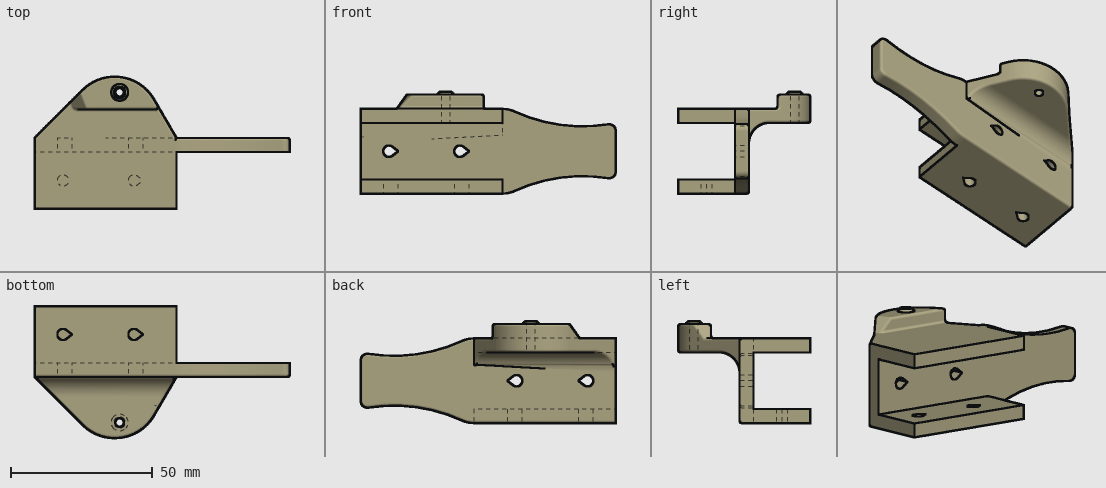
import cadquery as cq
import math

body_length = 50.0
body_depth = 25.0
body_height = 30.0
wall = 5.0
mid_height = body_height / 2
edge_radius = 1.0
margin = 0.045

reach = 46.6
tongue_nose_radius = 16.0
left_edge_angle = math.radians(45)
right_edge_angle = math.radians(60)
underside_radius = 7.0

pad_front = 35.0
pad_height = 5.0
pad_top = body_height + pad_height
taper_top_x = 18.5
taper_skew = math.radians(21.5)
taper_run = 4.7

boss_x = 30.0
boss_y = 41.0
boss_base_diameter = 5.9
boss_top_diameter = 4.0
bore_diameter = 3.0
overall_height = 36.0

overall_length = 90.0
handle_waist_x = 78.2
handle_waist_half = 8.8
handle_shoulder_radius = 10.0
handle_corner_radius = 2.4

hole_radius = 2.0
hole_tip = 3.2
hole_xs = (10.0, 35.0)
lower_hole_y = 10.0


def box(x0, x1, y0, y1, z0, z1):
    return cq.Workplane("XY").box(x1 - x0, y1 - y0, z1 - z0, centered=False).translate((x0, y0, z0))


def tongue_prism(z0, z1):
    """Tongue outline, with straight edges tangent to the round nose."""
    center_y = reach - tongue_nose_radius
    rise = center_y - body_depth
    center_x = (tongue_nose_radius + rise * math.cos(left_edge_angle)) / math.sin(left_edge_angle)

    def on_nose(angle):
        return (
            center_x + tongue_nose_radius * math.cos(angle),
            center_y + tongue_nose_radius * math.sin(angle),
        )

    return (
        cq.Workplane("XY", origin=(0, 0, z0))
        .moveTo(0, body_depth - wall)
        .lineTo(0, body_depth)
        .lineTo(*on_nose(math.pi / 2 + left_edge_angle))
        .threePointArc((center_x, reach), on_nose(math.pi / 2 - right_edge_angle))
        .lineTo(body_length, body_depth)
        .lineTo(body_length, body_depth - wall)
        .close()
        .extrude(z1 - z0)
    )


def make_body():
    solid = box(0, body_length, 0, body_depth, 0, body_height)
    solid = solid.cut(box(0, body_length, 0, body_depth - wall, wall, body_height - wall))
    return solid.edges("<Z and >Y").fillet(edge_radius)


def pad_region():
    """Space behind the pad front, bounded on the left by the tapered end."""
    region = box(0, body_length, pad_front, reach, body_height, pad_top)
    taper_plane = cq.Plane(
        origin=(taper_top_x, pad_front, pad_top),
        xDir=(math.cos(taper_skew), math.sin(taper_skew), 0),
        normal=(math.sin(taper_skew), -math.cos(taper_skew), 0),
    )
    taper_cutter = (
        cq.Workplane(taper_plane)
        .polyline([(0, 0), (-taper_run, -pad_height), (-body_length, -pad_height), (-body_length, 0)])
        .close()
        .extrude(reach, both=True)
    )
    return region.cut(taper_cutter)


def make_bend():
    """Bend joining the tongue's underside to the back wall."""
    root_z = body_height - wall
    bend = (
        cq.Workplane("YZ")
        .moveTo(body_depth, root_z)
        .lineTo(body_depth + underside_radius, root_z)
        .radiusArc((body_depth, root_z - underside_radius), -underside_radius)
        .close()
        .extrude(body_length)
    )
    return bend.intersect(tongue_prism(0, root_z))


def is_rounded(edge):
    """True for every edge behind the body except seams between tangent faces."""
    bounds = edge.BoundingBox()
    middle_y = edge.Center().y
    is_nose_seam = bounds.xlen < margin and middle_y > pad_front + margin
    is_bend_seam = bounds.ylen < margin and bounds.zmax < body_height - margin
    return middle_y > body_depth + margin and not is_nose_seam and not is_bend_seam


def make_body_with_tongue():
    plate = tongue_prism(body_height - wall, body_height)
    pad = tongue_prism(body_height, pad_top).intersect(pad_region())
    solid = make_body().union(plate).union(pad).union(make_bend())
    rounded_edges = [edge for edge in solid.edges().vals() if is_rounded(edge)]
    return solid.newObject(rounded_edges).fillet(edge_radius)


def make_boss():
    return (
        cq.Workplane("XY", origin=(boss_x, boss_y, pad_top))
        .circle(boss_base_diameter / 2)
        .workplane(offset=overall_height - pad_top)
        .circle(boss_top_diameter / 2)
        .loft()
    )


def make_handle():
    """Waisted handle; each side is a convex shoulder tangent to a concave arc."""
    run = handle_waist_x - body_length
    drop = mid_height - handle_waist_half
    waist_radius = (run**2 + drop**2) / (2 * drop) - handle_shoulder_radius
    turn = 2 * math.atan(drop / run)
    join = (
        body_length + handle_shoulder_radius * math.sin(turn),
        mid_height - handle_shoulder_radius * (1 - math.cos(turn)),
    )
    shoulder = (
        body_length + handle_shoulder_radius * math.sin(turn / 2),
        mid_height - handle_shoulder_radius * (1 - math.cos(turn / 2)),
    )
    end_offset = overall_length - handle_waist_x
    end_half = handle_waist_half + waist_radius - math.sqrt(waist_radius**2 - end_offset**2)
    half = (
        cq.Workplane("XZ", origin=(0, body_depth, mid_height))
        .moveTo(body_length - wall, 0)
        .lineTo(body_length - wall, mid_height)
        .lineTo(body_length, mid_height)
        .threePointArc(shoulder, join)
        .threePointArc((handle_waist_x, handle_waist_half), (overall_length, end_half))
        .lineTo(overall_length, 0)
        .close()
        .extrude(wall)
    )
    solid = half.union(half.mirror("XY", (0, 0, mid_height))).clean()
    solid = solid.edges("|Y and >X").fillet(handle_corner_radius)
    back_edges = solid.faces(">Y").edges().vals()
    back_rim = [edge for edge in back_edges if edge.Center().x > body_length]
    return solid.newObject(back_rim).fillet(edge_radius)


def teardrops(workplane):
    """Prisms through one wall, each with its pointed side toward +X."""
    tangent_angle = math.acos(hole_radius / hole_tip)
    tangent_x = hole_radius * math.cos(tangent_angle)
    tangent_y = hole_radius * math.sin(tangent_angle)
    cutters = cq.Workplane("XY")
    for x in hole_xs:
        cutter = (
            workplane.moveTo(x + hole_tip, 0)
            .lineTo(x + tangent_x, tangent_y)
            .threePointArc((x - hole_radius, 0), (x + tangent_x, -tangent_y))
            .close()
            .extrude(wall)
        )
        cutters = cutters.add(cutter)
    return cutters.combine()


result = make_body_with_tongue().union(make_handle())
result = result.union(make_boss())
result = result.cut(
    cq.Workplane("XY", origin=(boss_x, boss_y, 0)).circle(bore_diameter / 2).extrude(overall_height)
)
result = result.cut(teardrops(cq.Workplane("XZ", origin=(0, body_depth, mid_height))))
result = result.cut(teardrops(cq.Workplane("XY", origin=(0, lower_hole_y, 0))))